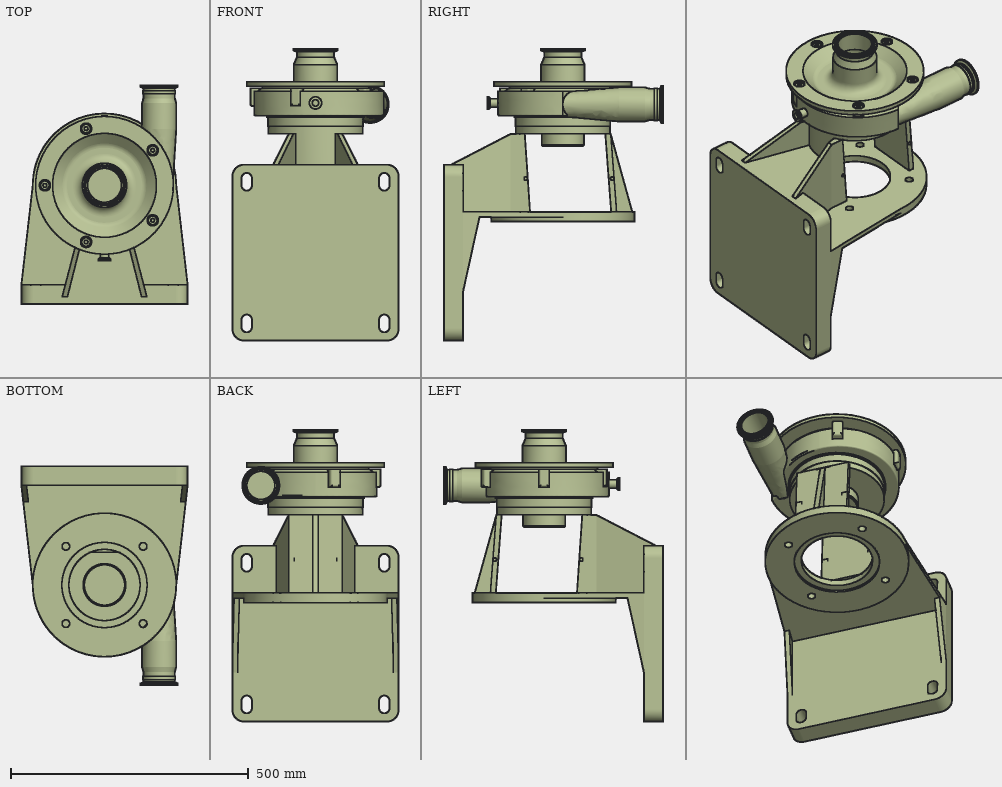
import cadquery as cq
import math

TOTAL_HEIGHT = 614.5

WALL_WIDTH = 350.0
WALL_HEIGHT = 370.5
WALL_THICKNESS = 40.5
WALL_FRONT_Y = -250.0
WALL_BACK_Y = WALL_FRONT_Y + WALL_THICKNESS
WALL_CORNER_RADIUS = 25.0
SLOT_LENGTH = 37.0
SLOT_WIDTH = 21.5
SLOT_SPACING_X = 289.5
SLOT_INSET_Z = 36.0

BASE_TOP_Z = 271.0
BASE_PLATE_THICKNESS = 11.0
BASE_DISC_THICKNESS = 20.0
BASE_RADIUS = 151.0
BASE_OPENING_RADIUS = 75.0
MOTOR_REGISTER_RADIUS = 90.0
MOTOR_REGISTER_DEPTH = 5.0
BASE_HOLE_COUNT = 4
BASE_HOLE_START_ANGLE = 45.0
BASE_HOLE_RADIUS = 8.0
BASE_HOLE_CIRCLE_RADIUS = 115.0
LOWER_RIB_THICKNESS = 11.0
LOWER_RIB_REACH = 34.5
LOWER_RIB_BOTTOM_Z = 104.0

LANTERN_RADIUS = 99.5
LANTERN_TOP_Z = 451.0
LEG_TOP_Z = 435.0
LEG_HALF_WIDTH = 56.5
FRONT_LEG_INNER_TOP_Y = -80.0
FRONT_LEG_INNER_BASE_Y = -69.0
FRONT_LEG_CORNER_Y = -110.0
BACK_LEG_INNER_TOP_Y = 89.0
BACK_LEG_LEAN = 12.0
BACK_LEG_THICKNESS = 11.5
BACK_RIB_BASE_Y = 146.0
BACK_RIB_THICKNESS = 11.0
GUSSET_TIP_Y = -235.0
GUSSET_TIP_HALF_WIDTH = 89.0
GUSSET_THICKNESS = 11.0
GUSSET_ROOT_INNER_X = 40.5
GUSSET_ROOT_INNER_Y = -86.0
PIN_HOLE_RADIUS = 3.5
PIN_HOLE_DEPTH = 12.0
PIN_HOLE_Z = 341.0
PIN_HOLES_Y = (-78.0, 104.0)

HOUSING_RADIUS = 100.0
HOUSING_LIP_RADIUS = 102.5
HOUSING_LIP_Z = 470.0
HUB_RADIUS = 45.0
HUB_BOTTOM_Z = 409.0
HUB_CHAMFER = 2.5

CASING_BOTTOM_Z = 473.0
CASING_TOP_Z = 525.0
VOLUTE_START_RADIUS = 121.5
VOLUTE_END_RADIUS = 144.0
VOLUTE_START_ANGLE = 90.0
VOLUTE_SWEEP = 270.0
CASING_BOTTOM_FILLET = 3.0
SHOULDER_HEIGHT = 7.0
SHOULDER_TOP_Z = CASING_TOP_Z + SHOULDER_HEIGHT
SHOULDER_TOP_RADIUS = 114.0

COVER_RADIUS = 145.0
COVER_TOP_Z = 545.0
COVER_THICKNESS = 10.0
COVER_BOTTOM_Z = COVER_TOP_Z - COVER_THICKNESS
COVER_SPIGOT_RADIUS = 112.5
DISH_RIM_RADIUS = 109.5
DISH_RIM_CHAMFER = 2.5
DISH_FLOOR_Z = 522.5
DISH_FLOOR_RADIUS = 84.0
DISH_WALL_FILLET = 13.5
DISH_NECK_FILLET = 20.0

SCREW_COUNT = 5
SCREW_CIRCLE_RADIUS = 125.5
SCREW_START_ANGLE = 36.0
COUNTERBORE_RADIUS = 11.5
COUNTERBORE_DEPTH = 5.0
SCREW_HEAD_RADIUS = 9.0
SCREW_HEAD_HEIGHT = 2.5
SOCKET_ACROSS_CORNERS = 8.5
SCREW_BOSS_WIDTH = 22.0
SCREW_BOSS_OUTER_RADIUS = 137.0
SCREW_BOSS_INNER_RADIUS = 110.5
SCREW_BOSS_BOTTOM_Z = 493.5
SCREW_BOSS_FILLET = 5.0

FERRULE_THICKNESS = 3.5
FERRULE_BACK_TAPER = 3.0
GASKET_GROOVE_WIDTH = 3.0
GASKET_GROOVE_DEPTH = 2.0
INLET_FERRULE_RADIUS = 47.0
INLET_NECK_RADIUS = 39.5
INLET_RADIUS = 46.0
INLET_NECK_LENGTH = 18.0
INLET_CONE_LENGTH = 16.0
INLET_BORE_RADIUS = 35.5
INLET_BODY_BORE_RADIUS = 41.0
INLET_BODY_BORE_START = 40.0
INLET_BORE_DEPTH = 123.0
OUTLET_X = 115.0
OUTLET_Z = 497.0
OUTLET_FACE_Y = 211.0
OUTLET_FERRULE_RADIUS = 39.5
OUTLET_NECK_RADIUS = 33.0
OUTLET_RADIUS = 36.0
OUTLET_NECK_LENGTH = 27.5
WELD_BEAD_RADIUS = 34.5
WELD_BEAD_START = 11.5
WELD_BEAD_LENGTH = 7.0
OUTLET_CONE_LENGTH = 10.5
OUTLET_END_Y = 118.0
OUTLET_BORE_RADIUS = 29.5
OUTLET_ROOT_RADIUS = 26.0

DRAIN_Z = 500.0
DRAIN_FACE_Y = -159.0
DRAIN_RADIUS = 9.0
DRAIN_FERRULE_RADIUS = 13.0
DRAIN_FERRULE_THICKNESS = 3.5
DRAIN_BACK_TAPER = 3.0
DRAIN_BORE_RADIUS = 7.0
DRAIN_ROOT_Y = -123.0


def cylinder(radius, bottom, top):
    return cq.Workplane("XY").workplane(offset=bottom).circle(radius).extrude(top - bottom)


def side_plate(points, half_width):
    """Plate from a (Y, Z) outline, centred on X = 0."""
    return cq.Workplane("YZ").polyline(points).close().extrude(half_width, both=True)


def floor_plate(points, bottom, top):
    """Plate from an (X, Y) outline between two heights."""
    outline = cq.Workplane("XY").workplane(offset=bottom).polyline(points).close()
    return outline.extrude(top - bottom)


def mirrored_pair(solid):
    return solid.union(solid.mirror("YZ"))


def mounting_wall():
    wall = (
        cq.Workplane("XZ", origin=(0, WALL_BACK_Y, WALL_HEIGHT / 2))
        .rect(WALL_WIDTH, WALL_HEIGHT)
        .extrude(WALL_THICKNESS)
        .edges("|Y")
        .fillet(WALL_CORNER_RADIUS)
    )
    slots = (
        cq.Workplane("XZ", origin=(0, WALL_BACK_Y, WALL_HEIGHT / 2))
        .rarray(SLOT_SPACING_X, WALL_HEIGHT - 2 * SLOT_INSET_Z, 2, 2)
        .slot2D(SLOT_LENGTH, SLOT_WIDTH, 90)
        .extrude(WALL_THICKNESS)
    )
    return wall.cut(slots)


def base_plate():
    corner_x = WALL_WIDTH / 2
    plate_bottom = BASE_TOP_Z - BASE_PLATE_THICKNESS
    trapezoid = [
        (-corner_x, WALL_BACK_Y),
        (corner_x, WALL_BACK_Y),
        (BASE_RADIUS, 0),
        (-BASE_RADIUS, 0),
    ]
    base = floor_plate(trapezoid, plate_bottom, BASE_TOP_Z)
    base = base.union(cylinder(BASE_RADIUS, BASE_TOP_Z - BASE_DISC_THICKNESS, BASE_TOP_Z))

    rib_outline = [
        (corner_x, WALL_BACK_Y),
        (BASE_RADIUS, 0),
        (BASE_RADIUS - LOWER_RIB_THICKNESS, 0),
        (corner_x - LOWER_RIB_THICKNESS, WALL_BACK_Y),
    ]
    rib_side = [
        (WALL_BACK_Y, LOWER_RIB_BOTTOM_Z),
        (WALL_BACK_Y, BASE_TOP_Z),
        (WALL_BACK_Y + LOWER_RIB_REACH, BASE_TOP_Z),
        (WALL_BACK_Y + LOWER_RIB_REACH, plate_bottom),
    ]
    rib = floor_plate(rib_outline, LOWER_RIB_BOTTOM_Z, BASE_TOP_Z)
    base = base.union(mirrored_pair(rib.intersect(side_plate(rib_side, WALL_WIDTH))))

    holes = (
        cq.Workplane("XY")
        .polarArray(BASE_HOLE_CIRCLE_RADIUS, BASE_HOLE_START_ANGLE, 360, BASE_HOLE_COUNT)
        .circle(BASE_HOLE_RADIUS)
        .extrude(BASE_TOP_Z)
    )
    disc_bottom = BASE_TOP_Z - BASE_DISC_THICKNESS
    opening = cylinder(BASE_OPENING_RADIUS, disc_bottom, BASE_TOP_Z)
    register = cylinder(MOTOR_REGISTER_RADIUS, disc_bottom, disc_bottom + MOTOR_REGISTER_DEPTH)
    return base.cut(holes).cut(opening).cut(register)


def front_leg():
    """Leg with a round outer face, held to the wall by two spreading gussets and a filled web."""
    leg_side = [
        (FRONT_LEG_INNER_TOP_Y, LEG_TOP_Z),
        (FRONT_LEG_INNER_BASE_Y, BASE_TOP_Z),
        (-LANTERN_RADIUS, BASE_TOP_Z),
        (-LANTERN_RADIUS, LEG_TOP_Z),
    ]
    leg = side_plate(leg_side, LEG_HALF_WIDTH).intersect(cylinder(LANTERN_RADIUS, 0, TOTAL_HEIGHT))

    tip_inner_x = GUSSET_TIP_HALF_WIDTH - GUSSET_THICKNESS
    gusset_outline = [
        (LEG_HALF_WIDTH, FRONT_LEG_INNER_TOP_Y),
        (LEG_HALF_WIDTH, FRONT_LEG_CORNER_Y),
        (GUSSET_TIP_HALF_WIDTH, GUSSET_TIP_Y),
        (tip_inner_x, GUSSET_TIP_Y),
        (GUSSET_ROOT_INNER_X, GUSSET_ROOT_INNER_Y),
        (GUSSET_ROOT_INNER_X, FRONT_LEG_INNER_TOP_Y),
    ]
    gusset_side = [
        (FRONT_LEG_INNER_TOP_Y, BASE_TOP_Z),
        (FRONT_LEG_INNER_TOP_Y, LEG_TOP_Z),
        (FRONT_LEG_CORNER_Y, LEG_TOP_Z),
        (GUSSET_TIP_Y, WALL_HEIGHT),
        (WALL_BACK_Y, WALL_HEIGHT),
        (WALL_BACK_Y, BASE_TOP_Z),
    ]
    gusset = floor_plate(gusset_outline, BASE_TOP_Z, LEG_TOP_Z)
    gusset = gusset.intersect(side_plate(gusset_side, WALL_WIDTH))

    web_outline = [
        (-GUSSET_ROOT_INNER_X, GUSSET_ROOT_INNER_Y),
        (GUSSET_ROOT_INNER_X, GUSSET_ROOT_INNER_Y),
        (tip_inner_x, GUSSET_TIP_Y),
        (-tip_inner_x, GUSSET_TIP_Y),
    ]
    web = floor_plate(web_outline, BASE_TOP_Z, WALL_HEIGHT)
    return leg.union(mirrored_pair(gusset)).union(web)


def back_leg():
    """Leaning flat leg with one triangular rib behind it."""
    outer_top_y = BACK_LEG_INNER_TOP_Y + BACK_LEG_THICKNESS
    inner_base_y = BACK_LEG_INNER_TOP_Y + BACK_LEG_LEAN
    leg_side = [
        (BACK_LEG_INNER_TOP_Y, LEG_TOP_Z),
        (outer_top_y, LEG_TOP_Z),
        (outer_top_y + BACK_LEG_LEAN, BASE_TOP_Z),
        (inner_base_y, BASE_TOP_Z),
    ]
    rib_side = [
        (BACK_LEG_INNER_TOP_Y, LEG_TOP_Z),
        (outer_top_y, LEG_TOP_Z),
        (BACK_RIB_BASE_Y, BASE_TOP_Z),
        (inner_base_y, BASE_TOP_Z),
    ]
    leg = side_plate(leg_side, LEG_HALF_WIDTH)
    return leg.union(side_plate(rib_side, BACK_RIB_THICKNESS / 2))


def pin_holes():
    hole_x = LEG_HALF_WIDTH - PIN_HOLE_DEPTH
    right_holes = (
        cq.Workplane("YZ", origin=(hole_x, 0, PIN_HOLE_Z))
        .pushPoints([(y, 0) for y in PIN_HOLES_Y])
        .circle(PIN_HOLE_RADIUS)
        .extrude(PIN_HOLE_DEPTH)
    )
    return mirrored_pair(right_holes)


def pump_housing():
    hub = cylinder(HUB_RADIUS, HUB_BOTTOM_Z, LEG_TOP_Z).faces("<Z").chamfer(HUB_CHAMFER)
    return (
        hub.union(cylinder(LANTERN_RADIUS, LEG_TOP_Z, LANTERN_TOP_Z))
        .union(cylinder(HOUSING_RADIUS, LANTERN_TOP_Z, HOUSING_LIP_Z))
        .union(cylinder(HOUSING_LIP_RADIUS, HOUSING_LIP_Z, CASING_BOTTOM_Z))
    )


def volute_point(fraction):
    radius = VOLUTE_START_RADIUS + fraction * (VOLUTE_END_RADIUS - VOLUTE_START_RADIUS)
    angle = math.radians(VOLUTE_START_ANGLE + fraction * VOLUTE_SWEEP)
    return radius * math.cos(angle), radius * math.sin(angle)


def casing():
    spiral = (
        cq.Workplane("XY")
        .workplane(offset=CASING_BOTTOM_Z)
        .parametricCurve(volute_point, N=40, makeWire=False)
        .close()
        .extrude(CASING_TOP_Z - CASING_BOTTOM_Z)
    )
    shoulder = (
        cq.Workplane("XY")
        .workplane(offset=CASING_TOP_Z)
        .circle(VOLUTE_START_RADIUS)
        .workplane(offset=SHOULDER_HEIGHT)
        .circle(SHOULDER_TOP_RADIUS)
        .loft()
    )
    core = cylinder(VOLUTE_START_RADIUS, CASING_BOTTOM_Z, CASING_TOP_Z)
    body = core.union(spiral).faces("<Z").edges().fillet(CASING_BOTTOM_FILLET)
    return body.union(shoulder)


def screw_bosses():
    boss = (
        cq.Workplane("XY")
        .box(
            SCREW_BOSS_OUTER_RADIUS - SCREW_BOSS_INNER_RADIUS,
            SCREW_BOSS_WIDTH,
            SHOULDER_TOP_Z - SCREW_BOSS_BOTTOM_Z,
            centered=(False, True, False),
        )
        .translate((SCREW_BOSS_INNER_RADIUS, 0, SCREW_BOSS_BOTTOM_Z))
        .faces(">X")
        .edges("not >Z")
        .fillet(SCREW_BOSS_FILLET)
    )
    return around_screw_circle(boss)


def around_screw_circle(solid):
    """Copies of a solid lying on +X, turned to every cover screw."""
    copies = cq.Workplane("XY")
    for index in range(SCREW_COUNT):
        angle = SCREW_START_ANGLE + index * 360 / SCREW_COUNT
        copies = copies.add(solid.rotate((0, 0, 0), (0, 0, 1), angle))
    return copies.combine()


def screw_recesses():
    """Counterbores around sunk screw heads, with their hexagon sockets."""
    seat_z = COVER_TOP_Z - COUNTERBORE_DEPTH
    head_top_z = seat_z + SCREW_HEAD_HEIGHT
    socket = (
        cq.Workplane("XY")
        .workplane(offset=seat_z)
        .polygon(6, SOCKET_ACROSS_CORNERS)
        .extrude(SCREW_HEAD_HEIGHT)
    )
    head = cylinder(SCREW_HEAD_RADIUS, seat_z, head_top_z).cut(socket)
    recess = cylinder(COUNTERBORE_RADIUS, seat_z, COVER_TOP_Z).cut(head)
    return around_screw_circle(recess.translate((SCREW_CIRCLE_RADIUS, 0, 0)))


def cover():
    plate = cylinder(COVER_RADIUS, COVER_BOTTOM_Z, COVER_TOP_Z)
    spigot = cylinder(COVER_SPIGOT_RADIUS, CASING_TOP_Z, COVER_BOTTOM_Z)
    return plate.union(spigot).union(screw_bosses()).cut(screw_recesses())


def dish():
    """Ring-shaped hollow around the inlet pipe, to be cut from the cover."""
    slope_angle = math.atan2(COVER_TOP_Z - DISH_FLOOR_Z, DISH_RIM_RADIUS - DISH_FLOOR_RADIUS)
    setback = DISH_WALL_FILLET * math.tan(slope_angle / 2)
    floor_end = DISH_FLOOR_RADIUS - setback
    fillet_middle = (
        floor_end + DISH_WALL_FILLET * math.sin(slope_angle / 2),
        DISH_FLOOR_Z + DISH_WALL_FILLET * (1 - math.cos(slope_angle / 2)),
    )
    slope_start = (
        DISH_FLOOR_RADIUS + setback * math.cos(slope_angle),
        DISH_FLOOR_Z + setback * math.sin(slope_angle),
    )
    neck_fillet_radius = INLET_RADIUS + DISH_NECK_FILLET
    neck_fillet_z = DISH_FLOOR_Z + DISH_NECK_FILLET
    diagonal = DISH_NECK_FILLET * math.sqrt(0.5)
    rim_chamfer_z = COVER_TOP_Z - DISH_RIM_CHAMFER
    return (
        cq.Workplane("XZ")
        .moveTo(INLET_RADIUS, COVER_TOP_Z)
        .lineTo(INLET_RADIUS, neck_fillet_z)
        .threePointArc(
            (neck_fillet_radius - diagonal, neck_fillet_z - diagonal),
            (neck_fillet_radius, DISH_FLOOR_Z),
        )
        .lineTo(floor_end, DISH_FLOOR_Z)
        .threePointArc(fillet_middle, slope_start)
        .lineTo(DISH_RIM_RADIUS - DISH_RIM_CHAMFER, rim_chamfer_z)
        .lineTo(DISH_RIM_RADIUS, COVER_TOP_Z)
        .close()
        .revolve(360, (0, 0, 0), (0, 1, 0))
    )


def ferrule_pipe(ferrule_radius, neck_radius, pipe_radius, neck_length, cone_length, length):
    """Solid pipe hanging down from its ferrule face at Z = 0."""
    cone_start = -neck_length
    cone_end = cone_start - cone_length
    pipe = (
        cq.Workplane("XZ")
        .moveTo(0, 0)
        .lineTo(ferrule_radius, 0)
        .lineTo(ferrule_radius, -FERRULE_THICKNESS)
        .lineTo(neck_radius, -FERRULE_THICKNESS - FERRULE_BACK_TAPER)
        .lineTo(neck_radius, cone_start)
        .lineTo(pipe_radius, cone_end)
        .lineTo(pipe_radius, -length)
        .lineTo(0, -length)
        .close()
        .revolve(360, (0, 0, 0), (0, 1, 0))
    )
    groove = (
        cq.Workplane("XY")
        .circle(neck_radius + GASKET_GROOVE_WIDTH)
        .circle(neck_radius)
        .extrude(-GASKET_GROOVE_DEPTH)
    )
    return pipe.cut(groove)


def inlet():
    pipe = ferrule_pipe(
        INLET_FERRULE_RADIUS,
        INLET_NECK_RADIUS,
        INLET_RADIUS,
        INLET_NECK_LENGTH,
        INLET_CONE_LENGTH,
        TOTAL_HEIGHT - DISH_FLOOR_Z,
    )
    return pipe.translate((0, 0, TOTAL_HEIGHT))


def outlet():
    pipe = ferrule_pipe(
        OUTLET_FERRULE_RADIUS,
        OUTLET_NECK_RADIUS,
        OUTLET_RADIUS,
        OUTLET_NECK_LENGTH,
        OUTLET_CONE_LENGTH,
        OUTLET_FACE_Y - OUTLET_END_Y,
    )
    bead_top = -WELD_BEAD_START
    pipe = pipe.union(cylinder(WELD_BEAD_RADIUS, bead_top - WELD_BEAD_LENGTH, bead_top))
    pipe = pipe.rotate((0, 0, 0), (1, 0, 0), -90).translate((OUTLET_X, OUTLET_FACE_Y, OUTLET_Z))
    root_offset_x = VOLUTE_END_RADIUS - OUTLET_ROOT_RADIUS - OUTLET_X
    diffuser = (
        cq.Workplane("XZ", origin=(OUTLET_X, OUTLET_END_Y, OUTLET_Z))
        .circle(OUTLET_RADIUS)
        .workplane(offset=OUTLET_END_Y)
        .center(root_offset_x, 0)
        .circle(OUTLET_ROOT_RADIUS)
        .loft()
    )
    return pipe.union(diffuser)


def pipe_bores():
    step_z = TOTAL_HEIGHT - INLET_BODY_BORE_START
    body_bore = cylinder(INLET_BODY_BORE_RADIUS, TOTAL_HEIGHT - INLET_BORE_DEPTH, step_z)
    inlet_bore = body_bore.union(cylinder(INLET_BORE_RADIUS, step_z, TOTAL_HEIGHT))
    outlet_bore = (
        cq.Workplane("XZ", origin=(OUTLET_X, OUTLET_FACE_Y, OUTLET_Z))
        .circle(OUTLET_BORE_RADIUS)
        .extrude(OUTLET_FACE_Y - OUTLET_END_Y)
    )
    drain_bore = (
        cq.Workplane("XZ", origin=(0, DRAIN_ROOT_Y, DRAIN_Z))
        .circle(DRAIN_BORE_RADIUS)
        .extrude(DRAIN_ROOT_Y - DRAIN_FACE_Y)
    )
    return inlet_bore.union(outlet_bore).union(drain_bore)


def drain():
    ferrule_back_y = DRAIN_FACE_Y + DRAIN_FERRULE_THICKNESS
    return (
        cq.Workplane("XY", origin=(0, 0, DRAIN_Z))
        .moveTo(0, DRAIN_FACE_Y)
        .lineTo(DRAIN_FERRULE_RADIUS, DRAIN_FACE_Y)
        .lineTo(DRAIN_FERRULE_RADIUS, ferrule_back_y)
        .lineTo(DRAIN_RADIUS, ferrule_back_y + DRAIN_BACK_TAPER)
        .lineTo(DRAIN_RADIUS, DRAIN_ROOT_Y)
        .lineTo(0, DRAIN_ROOT_Y)
        .close()
        .revolve(360, (0, 0, 0), (0, 1, 0))
    )


bracket = mounting_wall().union(base_plate()).union(front_leg()).union(back_leg()).cut(pin_holes())
pump = pump_housing().union(casing()).union(outlet()).union(cover()).union(drain())
pump = pump.cut(dish()).union(inlet()).cut(pipe_bores())
result = bracket.union(pump)